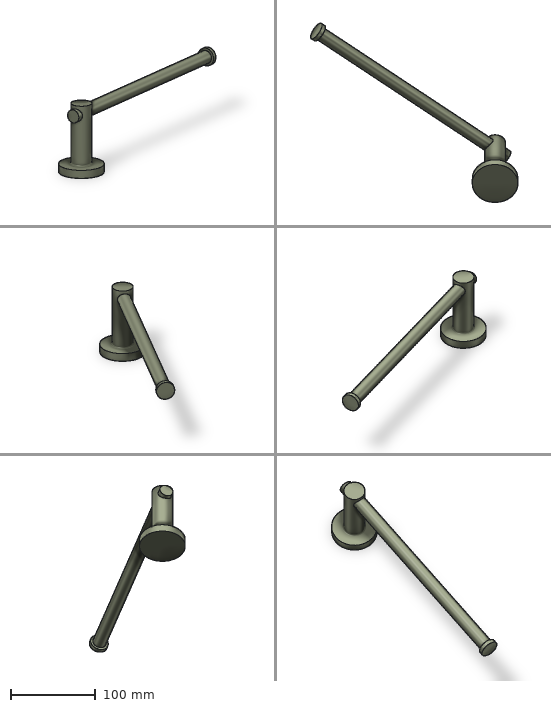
import cadquery as cq

total_height = 85.0
flange_diameter = 54.0
flange_thickness = 10.0
post_diameter = 25.0
foot_fillet = 2.0
rod_diameter = 16.0
rod_axis_drop = 12.0
peg_reach = 17.5
cap_diameter = 22.0
cap_thickness = 5.0
overall_length = 297.2

rod_axis_height = total_height - rod_axis_drop
cap_outer_y = overall_length - flange_diameter / 2
cap_inner_y = cap_outer_y - cap_thickness


def cylinder_along_y(diameter, start_y, end_y):
    """Solid cylinder on the rod axis between two Y positions."""
    plane = cq.Plane(origin=(0, start_y, rod_axis_height), xDir=(1, 0, 0), normal=(0, 1, 0))
    return cq.Workplane(plane).circle(diameter / 2).extrude(end_y - start_y)


def make_holder():
    """Wall flange and post in one piece, with a fillet at the foot and a through bore."""
    flange = cq.Workplane("XY").circle(flange_diameter / 2).extrude(flange_thickness)
    post = cq.Workplane("XY").circle(post_diameter / 2).extrude(total_height)
    blank = flange.union(post)
    foot_edge = blank.faces(">Z[-2]").edges(cq.selectors.RadiusNthSelector(0))
    filleted = foot_edge.fillet(foot_fillet)
    bore = cylinder_along_y(rod_diameter, -post_diameter, post_diameter)
    return filleted.cut(bore)


def make_rod():
    """Long straight rod from the post axis to the end cap."""
    return cylinder_along_y(rod_diameter, 0, cap_inner_y)


def make_peg():
    """Short peg from the post axis out through the other side of the post."""
    return cylinder_along_y(rod_diameter, -peg_reach, 0)


def make_cap():
    """Disc closing the far end of the rod."""
    return cylinder_along_y(cap_diameter, cap_inner_y, cap_outer_y)


holder = make_holder()
rod = make_rod()
peg = make_peg()
cap = make_cap()

result = cq.Compound.makeCompound([holder.val(), rod.val(), peg.val(), cap.val()])